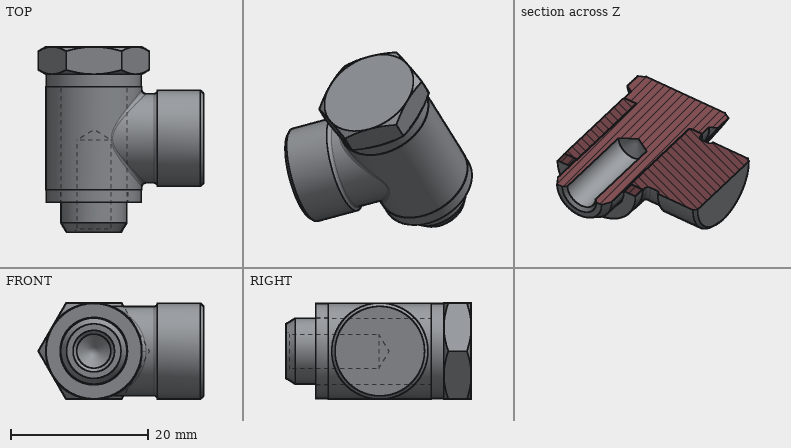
import cadquery as cq
import math


barrel_radius = 14.0 / 2
barrel_half_length = 7.5
neck_radius = 6.5
neck_fillet = 0.55
branch_radius = barrel_radius
branch_end = 16.0
branch_chamfer = 0.49
shoulder_x = 9.25
shoulder_arc_radius = branch_radius - neck_radius

seal_radius = 6.95
seal_width = 1.84
seal_bore_radius = 4.91
collar_end = barrel_half_length + seal_width

head_across_flats = 2 * barrel_radius
head_height = 3.97
head_corner_radius = head_across_flats / 2 / math.cos(math.radians(30))
head_chamfer_angle = 30.0
head_end = collar_end + head_height
head_corner_drop = (head_corner_radius - head_across_flats / 2) * math.tan(math.radians(head_chamfer_angle))

shank_radius = 4.8
tip_cone_start = -12.3
tip_radius = 3.97
bolt_length = 27.0
shank_tip = head_end - bolt_length

hole_radius = 2.48
hole_mouth_radius = 3.02
hole_depth = 13.5
drill_point_angle = 118.0
drill_point_depth = hole_radius / math.tan(math.radians(drill_point_angle / 2))


def revolve_about_y(points):
    """Solid of revolution about Y from (radius, y) points."""
    return cq.Workplane("XY").polyline(points).close().revolve(360, (0, 0, 0), (0, 1, 0))


def cylinder_along_y(radius):
    """Cylinder spanning the length of the barrel."""
    return (
        cq.Workplane("XZ")
        .circle(radius)
        .extrude(barrel_half_length, both=True)
    )


def make_hex_head():
    """Hexagon with flats facing up and down, both faces chamfered at the corners."""
    hexagon = (
        cq.Workplane("XZ", origin=(0, head_end, 0))
        .polygon(6, 2 * head_corner_radius)
        .extrude(head_height)
    )
    chamfer_envelope = revolve_about_y([
        (0, collar_end),
        (head_across_flats / 2, collar_end),
        (head_corner_radius, collar_end + head_corner_drop),
        (head_corner_radius, head_end - head_corner_drop),
        (head_across_flats / 2, head_end),
        (0, head_end),
    ])
    return hexagon.intersect(chamfer_envelope)


def make_blind_hole():
    hole_bottom = shank_tip + hole_depth
    return revolve_about_y([
        (0, shank_tip),
        (hole_mouth_radius, shank_tip),
        (hole_radius, shank_tip + hole_mouth_radius - hole_radius),
        (hole_radius, hole_bottom),
        (0, hole_bottom + drill_point_depth),
    ])


def make_bolt():
    """Hexagon head, collar below it and the hollow shank through the housing."""
    stem = revolve_about_y([
        (0, collar_end),
        (seal_radius, collar_end),
        (seal_radius, barrel_half_length),
        (shank_radius, barrel_half_length),
        (shank_radius, tip_cone_start),
        (tip_radius, shank_tip),
        (0, shank_tip),
    ])
    return make_hex_head().union(stem).cut(make_blind_hole())


def make_branch():
    """Side connection: neck, concave shoulder and chamfered end cylinder."""
    arc_start_x = shoulder_x - shoulder_arc_radius
    arc_mid = (
        arc_start_x + shoulder_arc_radius * math.sin(math.radians(45)),
        branch_radius - shoulder_arc_radius * math.cos(math.radians(45)),
    )
    return (
        cq.Workplane("XY")
        .moveTo(0, 0)
        .lineTo(0, neck_radius)
        .lineTo(arc_start_x, neck_radius)
        .threePointArc(arc_mid, (shoulder_x, branch_radius))
        .lineTo(branch_end - branch_chamfer, branch_radius)
        .lineTo(branch_end, branch_radius - branch_chamfer)
        .lineTo(branch_end, 0)
        .close()
        .revolve(360, (0, 0, 0), (1, 0, 0))
    )


def make_housing():
    """Barrel with the side branch, bored for the bolt shank."""
    barrel = cylinder_along_y(barrel_radius)
    body = barrel.union(make_branch())
    box_margin = 0.03
    box_side = neck_radius + box_margin
    junction_box = cq.selectors.BoxSelector(
        (box_margin, -box_side, -box_side),
        (barrel_radius + box_margin, box_side, box_side),
        boundingbox=True,
    )
    body = body.edges(junction_box).fillet(neck_fillet)
    return body.cut(cylinder_along_y(shank_radius))


def make_seal_ring():
    """Ring on the front end of the barrel, with clearance around the shank."""
    return (
        cq.Workplane("XZ", origin=(0, -barrel_half_length, 0))
        .circle(seal_radius)
        .circle(seal_bore_radius)
        .extrude(seal_width)
    )


bolt = make_bolt()
housing = make_housing()
seal_ring = make_seal_ring()

result = cq.Compound.makeCompound([bolt.val(), housing.val(), seal_ring.val()])